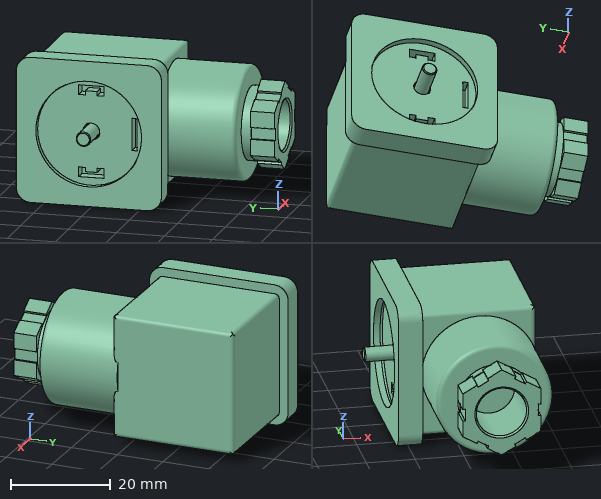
import cadquery as cq
import math


flange_side = 30.3
flange_thickness = 5.0
flange_corner_radius = 3.0
housing_side = 26.4
housing_back_x = 28.55
edge_radius = 1.0

recess_diameter = 22.0
recess_lip_thickness = 1.35
recess_chamber_diameter = 23.8
recess_depth = 2.0

slot_depth = 2.55
slot_outer_reach = 9.55
u_slot_width = 5.25
u_slot_height = 2.0
u_slot_notch_width = 2.45
u_slot_notch_height = 0.85
bar_slot_width = 1.1
bar_slot_length = 6.7

screw_diameter = 3.0
screw_hole_diameter = 3.5
screw_hole_depth = 2.55
screw_protrusion = 4.2
screw_chamfer = 0.2

barrel_diameter = 23.8
barrel_start_y = -12.05
barrel_end_y = -29.2
collar_diameter = 15.2
nut_sides = 6
nut_across_flats = 16.0
nut_length = 5.0
nut_notch_width = 2.45
nut_notch_depth = 0.5
total_length = 51.4
nut_end_y = flange_side / 2 - total_length
nut_start_y = nut_end_y + nut_length
total_width = 33.15
gland_x = total_width - screw_protrusion - barrel_diameter / 2
cable_bore_diameter = 10.3
cable_bore_depth = 12.85
cable_bore_chamfer = 0.35



def x_plane(x):
    """Sketch plane facing +X: local axes are Y and Z."""
    return cq.Workplane("YZ", origin=(x, 0, 0))


def gland_plane(y):
    """Sketch plane facing -Y, centred on the gland axis: local axes are X and Z."""
    return cq.Workplane("XZ", origin=(gland_x, y, 0))


def make_box():
    """Box whose rounded edges meet in mitred corners, as the overlap of three rounded bars."""
    depth = housing_back_x - flange_thickness
    box = cq.Workplane("XY").box(depth, housing_side, housing_side)
    overlap = box
    for rounded_edges in ("|X", "|Y and >X", "|Z and >X"):
        overlap = overlap.intersect(box.edges(rounded_edges).fillet(edge_radius))
    return overlap.translate((flange_thickness + depth / 2, 0, 0))


def make_housing():
    flange = x_plane(0).rect(flange_side, flange_side).extrude(flange_thickness)
    flange = flange.edges("|X").fillet(flange_corner_radius)
    return flange.union(make_box())


def make_nut():
    corner_diameter = nut_across_flats / math.cos(math.pi / nut_sides)
    nut = gland_plane(nut_start_y).transformed(rotate=(0, 0, 180 / nut_sides))
    nut = nut.polygon(nut_sides, corner_diameter).extrude(nut_length)
    notches = (
        gland_plane(nut_start_y)
        .polarArray(nut_across_flats / 2, 0, 360, nut_sides)
        .rect(2 * nut_notch_depth, nut_notch_width)
        .extrude(nut_length)
    )
    return nut.cut(notches)


def make_gland():
    barrel = gland_plane(barrel_start_y).circle(barrel_diameter / 2)
    barrel = barrel.extrude(barrel_start_y - barrel_end_y)
    barrel = barrel.faces("<Y").edges().fillet(edge_radius)
    collar = gland_plane(barrel_end_y).circle(collar_diameter / 2)
    collar = collar.extrude(barrel_end_y - nut_start_y)
    return barrel.union(collar).union(make_nut())


def make_cable_bore():
    radius = cable_bore_diameter / 2
    mouth_radius = radius + cable_bore_chamfer
    bore = gland_plane(nut_end_y).circle(radius).extrude(-cable_bore_depth)
    mouth = gland_plane(nut_end_y).circle(mouth_radius)
    mouth = mouth.extrude(-cable_bore_chamfer, taper=45)
    return bore.union(mouth)


def make_recess():
    mouth = x_plane(0).circle(recess_diameter / 2).extrude(recess_lip_thickness)
    chamber = x_plane(recess_lip_thickness).circle(recess_chamber_diameter / 2)
    return mouth.union(chamber.extrude(recess_depth - recess_lip_thickness))


def make_u_slot(side):
    """U-shaped slot above (side = 1) or below (side = -1) the screw, open toward it."""
    slot_z = slot_outer_reach - u_slot_height / 2
    notch_z = slot_outer_reach - u_slot_height + u_slot_notch_height / 2
    slot = x_plane(recess_depth).center(0, side * slot_z)
    slot = slot.rect(u_slot_width, u_slot_height).extrude(slot_depth)
    notch = x_plane(recess_depth).center(0, side * notch_z)
    notch = notch.rect(u_slot_notch_width, u_slot_notch_height).extrude(slot_depth)
    return slot.cut(notch)


def make_bar_slot():
    slot_y = bar_slot_width / 2 - slot_outer_reach
    slot = x_plane(recess_depth).center(slot_y, 0)
    return slot.rect(bar_slot_width, bar_slot_length).extrude(slot_depth)


def make_screw_hole():
    return x_plane(recess_depth).circle(screw_hole_diameter / 2).extrude(screw_hole_depth)


def make_screw():
    screw_end_x = recess_depth + screw_hole_depth
    screw = x_plane(-screw_protrusion).circle(screw_diameter / 2)
    screw = screw.extrude(screw_protrusion + screw_end_x)
    return screw.faces("<X").chamfer(screw_chamfer)


result = make_housing().union(make_gland())
pockets = [
    make_recess(),
    make_u_slot(1),
    make_u_slot(-1),
    make_bar_slot(),
    make_screw_hole(),
    make_cable_bore(),
]
for pocket in pockets:
    result = result.cut(pocket)
result = result.union(make_screw())